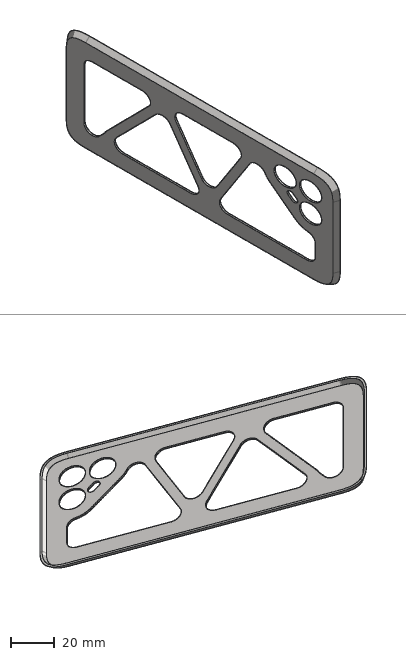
import cadquery as cq
import math

length = 160.5
height = 74.0
thickness = 3.0
wall_thickness = 1.0
rim_inset = 2.0
corner_reach = 13.3
corner_fullness = 0.73

side_border = 12.4
edge_border = 12.2
pocket_radius = 5.0
strut_width = 5.0
strut_nodes_x = (-58.3, -20.7, 5.8, 30.3)
foot_relief = 0.3
foot_relief_top = -17.0

lens_diameter = 13.0
lens_pitch = 15.0
lens_corner_x = 65.2
lens_corner_z = 22.3
camera_margin_radius = 13.0
camera_diagonal = -45
slot_width = 3.9
slot_center_distance = 3.2
slot_offset = 4.5

window_length = length - 2 * side_border
window_height = height - 2 * edge_border
half_window = window_height / 2
cut_depth = 2 * thickness

left_lens = (lens_corner_x - lens_pitch, lens_corner_z)
corner_lens = (lens_corner_x, lens_corner_z)
lower_lens = (lens_corner_x, lens_corner_z - lens_pitch)


def front_plane():
    """Work plane on the back face, y = 0, whose local axes are X and Z and whose normal is -Y."""
    return cq.Workplane("XZ")


def capsule(center, center_distance, width, angle):
    """Round-ended bar, deep enough to pass through the tray."""
    bar = front_plane().slot2D(center_distance + width, width).extrude(cut_depth)
    bar = bar.rotate((0, 0, 0), (0, 1, 0), -angle)
    return bar.translate((center[0], 0, center[1]))


def add_outline(work, inset):
    """Draw the tray's outline, moved inward by inset and with smooth spline corners, on a workplane."""
    half_x = length / 2 - inset
    half_z = height / 2 - inset
    reach = corner_reach - inset
    handle = reach * (1 - corner_fullness)
    outline = work.moveTo(-half_x + reach, -half_z)
    for sign_x, sign_z in ((1, -1), (1, 1), (-1, 1), (-1, -1)):
        along_x = [(sign_x * (half_x - back), sign_z * half_z) for back in (reach, handle)]
        along_z = [(sign_x * half_x, sign_z * (half_z - back)) for back in (handle, reach)]
        curve = along_x + along_z
        if sign_x == sign_z:
            curve.reverse()
        outline = outline.lineTo(*curve[0]).bezier(curve[1:], includeCurrent=True)
    return outline.close()


def tapered_block(inset, depth):
    """Block from the back face to the given depth, with sides sloped like the rim."""
    front_inset = inset + rim_inset * depth / thickness
    back = add_outline(front_plane(), inset)
    return add_outline(back.workplane(offset=depth), front_inset).loft(ruled=True)


def make_tray():
    """Tray whose floor and sloped sides have the same thickness."""
    sloped_wall_width = wall_thickness * math.hypot(rim_inset, thickness) / thickness
    recess = tapered_block(sloped_wall_width, thickness - wall_thickness)
    return tapered_block(0, thickness).cut(recess)


def strut(start, end):
    """Straight bar centred on the line from start to end, running past both ends."""
    run = end[0] - start[0]
    rise = end[1] - start[1]
    middle = ((start[0] + end[0]) / 2, (start[1] + end[1]) / 2)
    bar_length = math.hypot(run, rise) + 4 * strut_width
    bar = front_plane().rect(bar_length, strut_width).extrude(cut_depth)
    bar = bar.rotate((0, 0, 0), (0, 1, 0), -math.degrees(math.atan2(rise, run)))
    return bar.translate((middle[0], 0, middle[1]))


def make_struts():
    nodes = [(x, half_window * (-1) ** (i + 1)) for i, x in enumerate(strut_nodes_x)]
    bars = [strut(start, end) for start, end in zip(nodes, nodes[1:])]

    slope = math.atan2(nodes[1][1] - nodes[0][1], nodes[1][0] - nodes[0][0])
    shift = (foot_relief * math.sin(slope), 0, -foot_relief * math.cos(slope))
    foot_zone = (
        front_plane()
        .center(nodes[0][0], foot_relief_top - half_window / 2)
        .rect(window_length, half_window)
        .extrude(cut_depth)
    )
    foot = bars[0].intersect(foot_zone).intersect(bars[0].translate(shift))
    bars[0] = bars[0].cut(foot_zone).union(foot)

    struts = bars[0]
    for bar in bars[1:]:
        struts = struts.union(bar)
    return struts


def make_camera_margin():
    """Material kept around the lenses: the band joining the two outer lenses and all beyond it."""
    middle = ((left_lens[0] + lower_lens[0]) / 2, (left_lens[1] + lower_lens[1]) / 2)
    band = capsule(middle, math.sqrt(2) * lens_pitch, 2 * camera_margin_radius, camera_diagonal)
    block = (
        front_plane()
        .moveTo(*left_lens)
        .lineTo(left_lens[0], height)
        .lineTo(length, height)
        .lineTo(length, lower_lens[1])
        .lineTo(*lower_lens)
        .close()
        .extrude(cut_depth)
    )
    return band.union(block)


def make_pockets():
    """Openings between the struts, with every outward corner rounded."""
    window = front_plane().rect(window_length, window_height).extrude(cut_depth)
    sharp = window.cut(make_struts()).cut(make_camera_margin())
    pockets = cq.Workplane()
    for region in sharp.faces(">Y").vals():
        outline = region.outerWire()
        for core in outline.offset2D(-pocket_radius):
            for rounded in core.offset2D(pocket_radius):
                pockets = pockets.add(cq.Solid.extrudeLinear(rounded, [], cq.Vector(0, -cut_depth, 0)))
    return pockets


def make_camera_holes():
    lenses = (
        front_plane()
        .pushPoints([left_lens, corner_lens, lower_lens])
        .circle(lens_diameter / 2)
        .extrude(cut_depth)
    )
    reach = lens_pitch / 2 + slot_offset / math.sqrt(2)
    slot_center = (lens_corner_x - reach, lens_corner_z - reach)
    return lenses.union(capsule(slot_center, slot_center_distance, slot_width, camera_diagonal))


result = make_tray().cut(make_camera_holes())
for pocket in make_pockets().vals():
    result = result.cut(cq.Workplane(pocket))